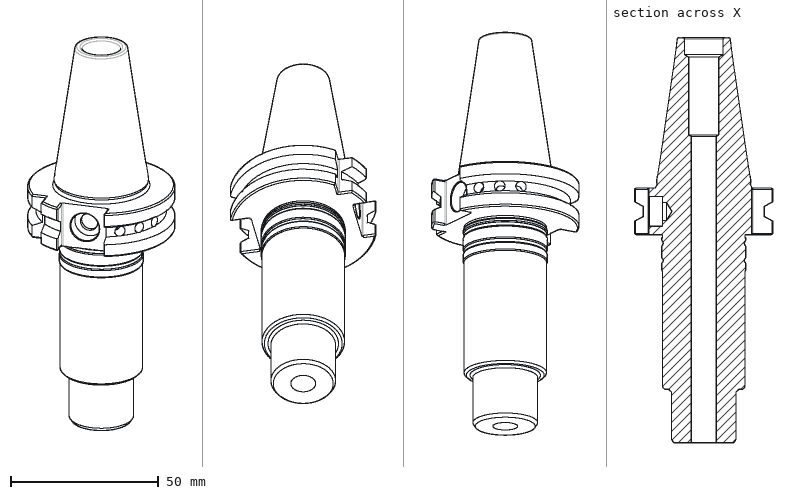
import cadquery as cq
import math

TOTAL_LENGTH = 137.2

NOSE_DIA = 22.0
NOSE_CHAMFER_WIDTH = 0.8
NOSE_CHAMFER_HEIGHT = 1.2
NOSE_TOP_Z = 17.3

BODY_DIA = 28.0
BODY_BOTTOM_Z = 18.1
BODY_CHAMFER = 0.8
NECK_FLARE = 1.0

BAND_DIA = 28.5
BAND_EDGE_HEIGHT = 0.4
BANDS = ((58.0, 61.2), (62.3, 66.9), (68.2, 69.7))
BAND_GROOVE_RADIUS = 0.8
BAND_GROOVE_DEPTH = 0.2

FLANGE_DIA = 49.9
FLANGE_RADIUS = FLANGE_DIA / 2
FLANGE_BOTTOM_Z = 70.4
FLANGE_TOP_Z = 86.3
FLANGE_HEIGHT = FLANGE_TOP_Z - FLANGE_BOTTOM_Z
FLANGE_CHAMFER = 0.5

GROOVE_Z = 78.3
GROOVE_FLOOR_RADIUS = 22.1
GROOVE_FLOOR_WIDTH = 3.4
GROOVE_FLANK_ANGLE = 30.0

SLOT_WIDTH = 16.2
SLOT_FLOOR_BACK = 16.3
SLOT_FLOOR_FRONT = 18.7
SLOT_CHAMFER = 0.5
INNER_CORNER_RADIUS = 0.4

NOTCH_OFFSET = 15.1

POCKET_DIA = 10.0
POCKET_MOUTH_DIA = 10.5
POCKET_DEPTH = 4.7
PILOT_DIA = 6.0
PILOT_DEPTH = 1.4
POINT_HALF_ANGLE = 59.0

RADIAL_HOLE_DIA = 3.5
RADIAL_HOLE_DEPTH = 5.5
RADIAL_HOLE_ANGLES = (34.0, 53.0, 72.0)

TAPER_RATIO = 7 / 24
TAPER_BASE_RADIUS = 16.0
TAPER_BASE_Z = 88.3
RELIEF_RADIUS = 15.8
RELIEF_Z = 87.5
RELIEF_FOOT_RADIUS = 16.5
TIP_FILLET = 0.7

COUNTERBORE_DIA = 13.0
COUNTERBORE_DEPTH = 5.8
THREAD_DIA = 10.1
THREAD_DEPTH = 32.9
BORE_DIA = 8.4
BORE_CONE_HALF_ANGLE = 60.0

CUT_MARGIN = 1.4


def revolve_profile(points):
    """Turn (radius, z) points into a solid of revolution about Z."""
    return cq.Workplane("XZ").polyline(points).close().revolve(360, (0, 0, 0), (0, 1, 0))


def make_spindle():
    """Nose, body, bands and taper as one turned solid, without the flange."""
    nose_radius = NOSE_DIA / 2
    body_radius = BODY_DIA / 2
    band_radius = BAND_DIA / 2
    tip_radius = TAPER_BASE_RADIUS - (TOTAL_LENGTH - TAPER_BASE_Z) * TAPER_RATIO / 2

    points = [
        (0, 0),
        (nose_radius - NOSE_CHAMFER_WIDTH, 0),
        (nose_radius, NOSE_CHAMFER_HEIGHT),
        (nose_radius, NOSE_TOP_Z),
        (nose_radius + NECK_FLARE, BODY_BOTTOM_Z),
        (body_radius - BODY_CHAMFER, BODY_BOTTOM_Z),
        (body_radius, BODY_BOTTOM_Z + BODY_CHAMFER),
    ]
    for bottom, top in BANDS:
        points += [
            (body_radius, bottom),
            (band_radius, bottom + BAND_EDGE_HEIGHT),
            (band_radius, top - BAND_EDGE_HEIGHT),
            (body_radius, top),
        ]
    points += [
        (body_radius, FLANGE_TOP_Z),
        (RELIEF_FOOT_RADIUS, FLANGE_TOP_Z),
        (RELIEF_RADIUS, RELIEF_Z),
        (TAPER_BASE_RADIUS, TAPER_BASE_Z),
        (tip_radius, TOTAL_LENGTH),
        (0, TOTAL_LENGTH),
    ]
    return revolve_profile(points)


def band_groove_cutter(z):
    """Ring with a round section that cuts a shallow groove into the body."""
    center_radius = BODY_DIA / 2 - BAND_GROOVE_DEPTH + BAND_GROOVE_RADIUS
    return (
        cq.Workplane("XZ")
        .center(center_radius, z)
        .circle(BAND_GROOVE_RADIUS)
        .revolve(360, (-center_radius, 0, 0), (-center_radius, 1, 0))
    )


def slot_cutter(floor):
    """Slot through the -Y rim of the flange, with bevelled wall edges and a sharp floor edge."""
    half_width = SLOT_WIDTH / 2
    reach = FLANGE_RADIUS + CUT_MARGIN
    rim_y = math.sqrt(FLANGE_RADIUS**2 - half_width**2)
    flare_y = rim_y - SLOT_CHAMFER
    flare_half_width = half_width + reach - flare_y

    plan = (
        cq.Workplane("XY", origin=(0, 0, FLANGE_BOTTOM_Z))
        .polyline([
            (-half_width, -floor),
            (-half_width, -flare_y),
            (-flare_half_width, -reach),
            (flare_half_width, -reach),
            (half_width, -flare_y),
            (half_width, -floor),
        ])
        .close()
        .extrude(FLANGE_HEIGHT)
        .edges("|Z and >Y")
        .fillet(INNER_CORNER_RADIUS)
    )

    mouth_start = floor + INNER_CORNER_RADIUS
    mouth_half_width = half_width + SLOT_CHAMFER
    section = (
        cq.Workplane("XZ", origin=(0, -mouth_start, 0))
        .polyline([
            (-mouth_half_width, FLANGE_BOTTOM_Z),
            (-half_width, FLANGE_BOTTOM_Z + SLOT_CHAMFER),
            (-half_width, FLANGE_TOP_Z - SLOT_CHAMFER),
            (-mouth_half_width, FLANGE_TOP_Z),
            (mouth_half_width, FLANGE_TOP_Z),
            (half_width, FLANGE_TOP_Z - SLOT_CHAMFER),
            (half_width, FLANGE_BOTTOM_Z + SLOT_CHAMFER),
            (mouth_half_width, FLANGE_BOTTOM_Z),
        ])
        .close()
        .extrude(reach - mouth_start)
    )
    return plan.union(section)


def notch_cutter():
    """Square corner notch through the -X, -Y rim, bevelled at both flange faces."""
    side = FLANGE_RADIUS
    notch_center = -(NOTCH_OFFSET + side / 2)

    def prism(bottom_side, height, taper):
        return (
            cq.Workplane("XY", origin=(notch_center, notch_center, FLANGE_BOTTOM_Z))
            .rect(bottom_side, bottom_side)
            .extrude(height, taper=taper)
        )

    notch = prism(side, FLANGE_HEIGHT, 0).edges("|Z").fillet(INNER_CORNER_RADIUS)
    lower_mouth = prism(side + 2 * FLANGE_CHAMFER, FLANGE_CHAMFER, 45)
    upper_mouth = lower_mouth.mirror("XY", (0, 0, (FLANGE_BOTTOM_Z + FLANGE_TOP_Z) / 2))
    return notch.union(lower_mouth).union(upper_mouth)


def groove_cutter():
    """Ring with a trapezoid section that cuts the V groove."""
    outer_radius = FLANGE_RADIUS + CUT_MARGIN
    inner_half = GROOVE_FLOOR_WIDTH / 2
    rise = (outer_radius - GROOVE_FLOOR_RADIUS) * math.tan(math.radians(GROOVE_FLANK_ANGLE))
    outer_half = inner_half + rise
    return revolve_profile([
        (GROOVE_FLOOR_RADIUS, GROOVE_Z - inner_half),
        (outer_radius, GROOVE_Z - outer_half),
        (outer_radius, GROOVE_Z + outer_half),
        (GROOVE_FLOOR_RADIUS, GROOVE_Z + inner_half),
    ])


def make_flange():
    """Flange disc with chamfered rim, drive slots, corner notch and V groove."""
    flange = (
        cq.Workplane("XY", origin=(0, 0, FLANGE_BOTTOM_Z))
        .circle(FLANGE_RADIUS)
        .extrude(FLANGE_HEIGHT)
        .edges()
        .chamfer(FLANGE_CHAMFER)
    )
    flange = flange.cut(slot_cutter(SLOT_FLOOR_FRONT))
    flange = flange.cut(slot_cutter(SLOT_FLOOR_BACK).rotate((0, 0, 0), (0, 0, 1), 180))
    flange = flange.cut(notch_cutter())
    return flange.cut(groove_cutter())


def pocket_cutter():
    """Stepped hole with a drill point, entering the -Y slot floor along +Y."""
    pocket_radius = POCKET_DIA / 2
    mouth_radius = POCKET_MOUTH_DIA / 2
    pilot_radius = PILOT_DIA / 2
    pilot_end = POCKET_DEPTH + PILOT_DEPTH
    tip = pilot_end + pilot_radius / math.tan(math.radians(POINT_HALF_ANGLE))
    points = [
        (0, 0),
        (mouth_radius, 0),
        (pocket_radius, mouth_radius - pocket_radius),
        (pocket_radius, POCKET_DEPTH),
        (pilot_radius, POCKET_DEPTH),
        (pilot_radius, pilot_end),
        (0, tip),
    ]
    return (
        cq.Workplane("XY", origin=(0, -SLOT_FLOOR_FRONT, GROOVE_Z))
        .polyline(points)
        .close()
        .revolve(360, (0, 0, 0), (0, 1, 0))
    )


def radial_hole_cutter(angle):
    """Radial hole in the groove floor, angle measured from -Y toward +X."""
    return (
        cq.Workplane("XZ", origin=(0, RADIAL_HOLE_DEPTH - GROOVE_FLOOR_RADIUS, GROOVE_Z))
        .circle(RADIAL_HOLE_DIA / 2)
        .extrude(RADIAL_HOLE_DEPTH + CUT_MARGIN)
        .rotate((0, 0, 0), (0, 0, 1), angle)
    )


def bore_cutter():
    """Stepped through bore, widening toward the taper end."""
    counterbore_radius = COUNTERBORE_DIA / 2
    thread_radius = THREAD_DIA / 2
    bore_radius = BORE_DIA / 2
    cone_slope = math.tan(math.radians(BORE_CONE_HALF_ANGLE))
    counterbore_z = TOTAL_LENGTH - COUNTERBORE_DEPTH
    thread_z = TOTAL_LENGTH - THREAD_DEPTH
    return revolve_profile([
        (0, 0),
        (bore_radius, 0),
        (bore_radius, thread_z - (thread_radius - bore_radius) / cone_slope),
        (thread_radius, thread_z),
        (thread_radius, counterbore_z - (counterbore_radius - thread_radius) / cone_slope),
        (counterbore_radius, counterbore_z),
        (counterbore_radius, TOTAL_LENGTH),
        (0, TOTAL_LENGTH),
    ])


holder = make_spindle().union(make_flange())
for lower_band, upper_band in zip(BANDS, BANDS[1:]):
    holder = holder.cut(band_groove_cutter((lower_band[1] + upper_band[0]) / 2))
holder = holder.cut(bore_cutter())
holder = holder.faces(">Z").edges().fillet(TIP_FILLET)
holder = holder.cut(pocket_cutter())
for hole_angle in RADIAL_HOLE_ANGLES:
    holder = holder.cut(radial_hole_cutter(hole_angle))

result = holder